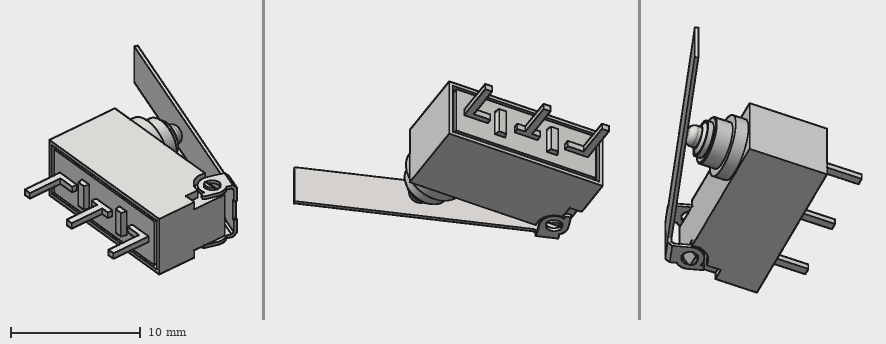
import cadquery as cq
import math

case_length = 13.35
case_height = 6.52
case_width = 5.3

groove_outer_length = 12.73
groove_outer_width = 4.62
groove_inner_length = 12.15
groove_inner_width = 4.17
groove_depth = 0.4

terminal_pitch = 5.08
terminal_length = 3.5
terminal_width = 0.61
terminal_thickness = 0.53
left_foot_length = 2.05
foot_length = 2.0
foot_height = 0.45

rib_spacing = 4.53
rib_base_width = 0.89
rib_tip_width = 0.63
rib_height = foot_height
rib_span = 2.25

plunger_x = -4.0
collar_radius = 4.95 / 2
collar_top = 7.59
sleeve_radius = 3.8 / 2
sleeve_top = 9.0
sleeve_chamfer = 0.08
cap_radius = 2.9 / 2
cap_top = 9.45
cone_base_radius = 1.28
cone_tip_radius = 0.95
cone_top = 9.7
button_radius = 1.7 / 2
button_top = 10.6
button_fillet = 0.53

pivot_x = 5.65
pivot_y = 6.1
pivot_hole_diameter = 1.3
pivot_pin_diameter = 1.19
pin_flat_top_y = 5.83
pocket_radius = 1.42
pocket_bottom_y = 3.5

lever_angle = 17.5
sheet = 0.3
strip_end = 20.02
strip_width = 3.44
lever_top = 1.84
bracket_width = 4.94
bend_chamfer = 0.35
eye_radius = 1.13
bracket_right = 0.6
web_notch_width = 1.78
web_notch_depth = 0.2
flare_fillet = 0.25
tooth_left = 0.65
tooth_bottom = -1.2
tooth_fillet = 0.12

ear_inner_z = bracket_width / 2 - sheet
lead_in = case_height - pin_flat_top_y
pocket_floor_z = case_width / 2 - lead_in
case_right = case_length / 2
lever_underside = lever_top - sheet
inner_bend_chamfer = bend_chamfer - sheet * (2 - math.sqrt(2))


def slab(x_min, x_max, y_min, y_max, width):
    """Box between the given X and Y limits, centred on Z = 0."""
    return cq.Workplane("XY").box(x_max - x_min, y_max - y_min, width, centered=False).translate(
        (x_min, y_min, -width / 2)
    )


def disc(x, y, radius, width):
    """Cylinder along Z, centred on Z = 0."""
    return cq.Workplane("XY").center(x, y).circle(radius).extrude(width / 2, both=True)


def seal_groove():
    """Rectangular ring cut into the terminal face."""
    outer = slab(-groove_outer_length / 2, groove_outer_length / 2, 0, groove_depth, groove_outer_width)
    island = slab(-groove_inner_length / 2, groove_inner_length / 2, 0, groove_depth, groove_inner_width)
    return outer.cut(island)


def hinge_pocket():
    """Space for the lever ears on both broad sides, open to the top and the right."""
    round_part = disc(pivot_x, pivot_y, pocket_radius, case_width)
    corner_part = slab(pivot_x, case_right, pocket_bottom_y, case_height, case_width)
    core = slab(-case_right, case_right, 0, case_height, 2 * pocket_floor_z)
    return round_part.union(corner_part).cut(core)


def pivot_pins():
    """Pivot pin on both sides, flush with the case, with a 45 degree slope down to the pocket floor."""
    half_width = case_width / 2
    envelope = (
        cq.Workplane("YZ")
        .polyline([
            (0, -half_width),
            (pin_flat_top_y, -half_width),
            (case_height, -pocket_floor_z),
            (case_height, pocket_floor_z),
            (pin_flat_top_y, half_width),
            (0, half_width),
        ])
        .close()
        .extrude(case_right)
    )
    return disc(pivot_x, pivot_y, pivot_pin_diameter / 2, case_width).intersect(envelope)


def terminal(x, foot_left, foot_right):
    """Straight blade at x with a foot that lies on the terminal face."""
    blade = slab(x - terminal_width / 2, x + terminal_width / 2, -terminal_length, 0, terminal_thickness)
    foot = slab(foot_left, foot_right, -foot_height, 0, terminal_thickness)
    return blade.union(foot)


def terminals():
    """L-shaped terminals at both ends and a T-shaped one in the middle."""
    left_edge = -terminal_pitch - terminal_width / 2
    right_edge = terminal_pitch + terminal_width / 2
    return (
        terminal(0, -foot_length / 2, foot_length / 2)
        .union(terminal(-terminal_pitch, left_edge, left_edge + left_foot_length))
        .union(terminal(terminal_pitch, right_edge - foot_length, right_edge))
    )


def rib(x):
    """Tapered rib on the terminal face."""
    return (
        cq.Workplane("XY")
        .polyline([
            (x - rib_base_width / 2, 0),
            (x + rib_base_width / 2, 0),
            (x + rib_tip_width / 2, -rib_height),
            (x - rib_tip_width / 2, -rib_height),
        ])
        .close()
        .extrude(rib_span / 2, both=True)
    )


def plunger():
    """Stepped round plunger with a domed button, revolved about its own Y axis."""
    dome_start = button_top - button_fillet
    dome_middle = button_fillet * math.sqrt(0.5)
    flat_radius = button_radius - button_fillet
    profile = (
        cq.Workplane("XY")
        .moveTo(0, case_height)
        .lineTo(collar_radius, case_height)
        .lineTo(collar_radius, collar_top)
        .lineTo(sleeve_radius, collar_top)
        .lineTo(sleeve_radius, sleeve_top - sleeve_chamfer)
        .lineTo(sleeve_radius - sleeve_chamfer, sleeve_top)
        .lineTo(cap_radius, sleeve_top)
        .lineTo(cap_radius, cap_top)
        .lineTo(cone_base_radius, cap_top)
        .lineTo(cone_tip_radius, cone_top)
        .lineTo(button_radius, cone_top)
        .lineTo(button_radius, dome_start)
        .threePointArc((flat_radius + dome_middle, dome_start + dome_middle), (flat_radius, button_top))
        .lineTo(0, button_top)
        .close()
    )
    return profile.revolve(360, (0, 0, 0), (0, 1, 0)).translate((plunger_x, 0, 0))


def make_switch():
    """Case with its terminals, ribs, plunger and pivot pins."""
    body = slab(-case_right, case_right, 0, case_height, case_width)
    body = body.cut(seal_groove()).cut(hinge_pocket())
    body = body.union(pivot_pins()).union(terminals()).union(plunger())
    for side in (-1, 1):
        body = body.union(rib(side * rib_spacing / 2))
    return body


def channel(width, top, corner_chamfer):
    """Bar along X with both top corners chamfered, used for the inside and outside of the bracket."""
    half = width / 2
    low = -2 * eye_radius
    return (
        cq.Workplane("YZ")
        .polyline([
            (low, -half),
            (top - corner_chamfer, -half),
            (top, corner_chamfer - half),
            (top, half - corner_chamfer),
            (top - corner_chamfer, half),
            (low, half),
        ])
        .close()
        .extrude(2 * eye_radius, both=True)
    )


def bracket():
    """Bent bracket: a web between two ears with pivot eyes and stop teeth."""
    tooth = slab(tooth_left, eye_radius, tooth_bottom, 0, bracket_width)
    tooth = tooth.edges("|Z and <Y").fillet(tooth_fillet)
    side_shape = (
        slab(-eye_radius, bracket_right, 0, lever_top, bracket_width)
        .union(disc(0, 0, eye_radius, bracket_width))
        .union(tooth)
        .cut(disc(0, 0, pivot_hole_diameter / 2, bracket_width))
    )
    outside = channel(bracket_width, lever_top, bend_chamfer)
    inside = channel(2 * ear_inner_z, lever_underside, inner_bend_chamfer)
    web_notch = slab(bracket_right - web_notch_depth, bracket_right, 0, lever_top, web_notch_width)
    return side_shape.intersect(outside).cut(inside).cut(web_notch)


def make_lever():
    """Flat strip that flares into the bracket, tilted about the pivot."""
    strip = slab(-strip_end, -eye_radius, lever_underside, lever_top, strip_width)
    lever = bracket().union(strip)
    for side in (-1, 1):
        flare_corner = (-eye_radius, lever_top - sheet / 2, side * strip_width / 2)
        lever = lever.edges(cq.NearestToPointSelector(flare_corner)).fillet(flare_fillet)
    return lever.rotate((0, 0, 0), (0, 0, 1), -lever_angle).translate((pivot_x, pivot_y, 0))


switch = make_switch()
lever = make_lever()
result = cq.Compound.makeCompound([*switch.solids().vals(), *lever.solids().vals()])